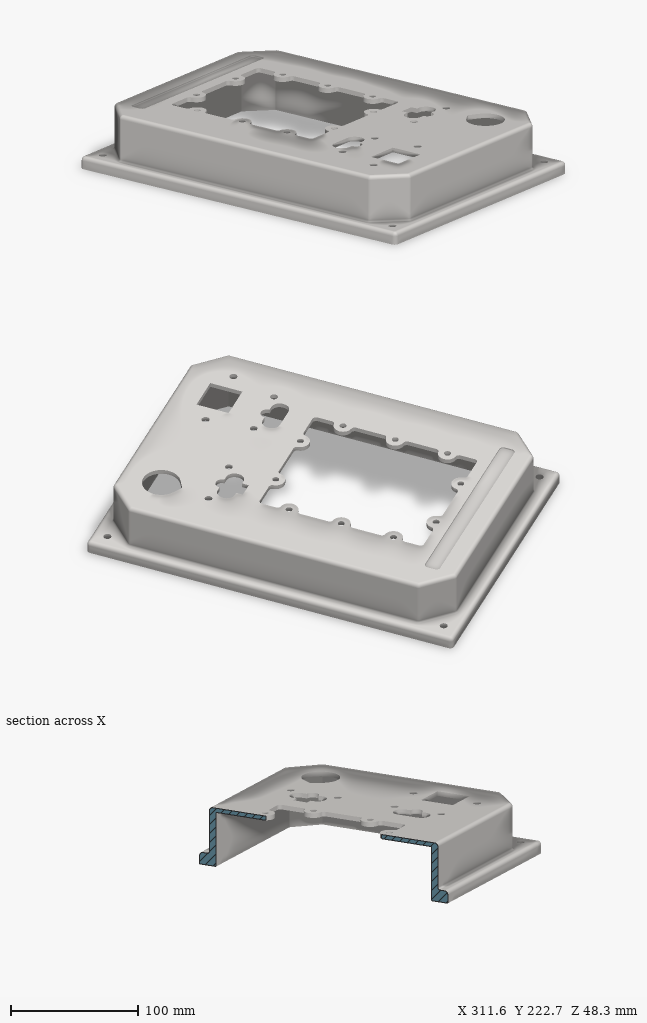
import cadquery as cq
import math

FLANGE_LENGTH = 311.59
FLANGE_WIDTH = 222.69
FLANGE_HEIGHT = 10.16
FLANGE_ROUND = 3.175
FLANGE_HOLE_INSET = 12.7
FLANGE_HOLE_DIAMETER = 6.2

TOTAL_HEIGHT = 48.26
HOUSING_INSET_X = 9.745
HOUSING_INSET_Y = 8.8
HOUSING_LENGTH = FLANGE_LENGTH - 2 * HOUSING_INSET_X
HOUSING_WIDTH = FLANGE_WIDTH - 2 * HOUSING_INSET_Y
CORNER_CUT = 22.86
HOUSING_ROUND = 3.175
FOOT_ROUND = 1.5

WALL = 6.35
PANEL = 3.8

STRIP_X = -124.5
STRIP_LENGTH = 158.75
STRIP_WIDTH = 12.7
STRIP_ROUND = 3.175
STRIP_DEPTH = 1.27
STRIP_FLOOR_ROUND = 0.7

WINDOW_X = -38.1
WINDOW_LENGTH = 139.7
WINDOW_WIDTH = 114.3
WINDOW_ROUND = 3.0
TAB_RADIUS = 7.5
TAB_HOLE_INSET = 1.6
TAB_HOLE_DIAMETER = 5.4
TAB_PITCH_X = 44.45
TAB_SPACING_Y = 50.8

CONNECTOR_X = 59.9
CONNECTOR_Y = 46.4
CONNECTOR_WIDTH = 14.7
CONNECTOR_LENGTH = 31.4
CONNECTOR_ROUND = 6.9
CONNECTOR_BUMP_RADIUS = 5.1
CONNECTOR_SCREW_X = 70.0
CONNECTOR_SCREW_SPACING = 41.9
CONNECTOR_SCREW_DIAMETER = 6.0
KEY_REACH = 13.0
KEY_WIDTH = 12.4

ROUND_X = 111.8
ROUND_Y = 63.4
ROUND_RADIUS = 15.25
NOSE_RADIUS = 2.2
NOSE_OFFSET = 15.25

SQUARE_X = 109.1
SQUARE_Y = -49.6
SQUARE_LENGTH = 27.3
SQUARE_WIDTH = 28.4
SQUARE_SCREW_SPACING = 57.15
SQUARE_SCREW_DIAMETER = 6.35


def through_panel(sketch):
    """Extrude a closed outline through the full height of the part."""
    return sketch.extrude(TOTAL_HEIGHT)


def flange():
    plate = cq.Workplane("XY").box(FLANGE_LENGTH, FLANGE_WIDTH, FLANGE_HEIGHT, centered=(True, True, False))
    return plate.edges("|Z or >Z").fillet(FLANGE_ROUND)


def octagon_block(length, width, corner_cut, height):
    """Rectangular block with its four upright corners cut at 45 degrees."""
    block = cq.Workplane("XY").box(length, width, height, centered=(True, True, False))
    return block.edges("|Z").chamfer(corner_cut)


def housing():
    block = octagon_block(HOUSING_LENGTH, HOUSING_WIDTH, CORNER_CUT, TOTAL_HEIGHT)
    return block.edges("|Z or >Z").fillet(HOUSING_ROUND)


def body():
    """Flange and housing joined, with a small fillet around the housing foot."""
    joined = flange().union(housing())
    margin = HOUSING_INSET_Y / 2
    foot = cq.selectors.BoxSelector(
        (-HOUSING_LENGTH / 2 - margin, -HOUSING_WIDTH / 2 - margin, FLANGE_HEIGHT - FOOT_ROUND),
        (HOUSING_LENGTH / 2 + margin, HOUSING_WIDTH / 2 + margin, FLANGE_HEIGHT + FOOT_ROUND),
        boundingbox=True,
    )
    return joined.edges(foot).fillet(FOOT_ROUND)


def cavity():
    """Hollow under the panel, offset inward from the housing by the wall thickness."""
    cut_shift = WALL * (2 - math.sqrt(2))
    return octagon_block(
        HOUSING_LENGTH - 2 * WALL,
        HOUSING_WIDTH - 2 * WALL,
        CORNER_CUT - cut_shift,
        TOTAL_HEIGHT - PANEL,
    )


def holes(points, diameter):
    return through_panel(cq.Workplane("XY").pushPoints(points).circle(diameter / 2))


def flange_holes():
    x = FLANGE_LENGTH / 2 - FLANGE_HOLE_INSET
    y = FLANGE_WIDTH / 2 - FLANGE_HOLE_INSET
    return holes([(sx * x, sy * y) for sx in (-1, 1) for sy in (-1, 1)], FLANGE_HOLE_DIAMETER)


def strip_recess():
    recess = cq.Workplane("XY").box(STRIP_WIDTH, STRIP_LENGTH, STRIP_DEPTH, centered=(True, True, False))
    recess = recess.edges("|Z").fillet(STRIP_ROUND).faces("<Z").edges().fillet(STRIP_FLOOR_ROUND)
    return recess.translate((STRIP_X, 0, TOTAL_HEIGHT - STRIP_DEPTH))


def tab_centers():
    x = WINDOW_LENGTH / 2 - TAB_HOLE_INSET
    y = WINDOW_WIDTH / 2 - TAB_HOLE_INSET
    points = []
    for side in (-1, 1):
        for step in (-1, 0, 1):
            points.append((WINDOW_X + step * TAB_PITCH_X, side * y))
        for end in (-1, 1):
            points.append((WINDOW_X + side * x, end * TAB_SPACING_Y / 2))
    return points


def window():
    """Window outline notched by the round screw tabs, all corners at its border rounded."""
    opening = through_panel(cq.Workplane("XY").center(WINDOW_X, 0).rect(WINDOW_LENGTH, WINDOW_WIDTH))
    opening = opening.cut(holes(tab_centers(), 2 * TAB_RADIUS))
    return opening.edges("|Z").fillet(WINDOW_ROUND)


def connector(y, with_key):
    """Rounded slot with a bump toward +X, two screw holes and an optional key toward -X."""
    center = cq.Workplane("XY").center(CONNECTOR_X, y)
    opening = through_panel(center.rect(CONNECTOR_WIDTH, CONNECTOR_LENGTH)).edges("|Z").fillet(CONNECTOR_ROUND)
    bump_x = CONNECTOR_X + CONNECTOR_WIDTH / 2
    opening = opening.union(holes([(bump_x, y)], 2 * CONNECTOR_BUMP_RADIUS))
    if with_key:
        key = cq.Workplane("XY").center(CONNECTOR_X - KEY_REACH / 2, y).rect(KEY_REACH, KEY_WIDTH)
        opening = opening.union(through_panel(key))
    screws = [(CONNECTOR_SCREW_X, y + s * CONNECTOR_SCREW_SPACING / 2) for s in (-1, 1)]
    return opening.union(holes(screws, CONNECTOR_SCREW_DIAMETER))


def round_cutout():
    """Circle joined to a small nose circle by their two common tangents."""
    cosine = (ROUND_RADIUS - NOSE_RADIUS) / NOSE_OFFSET
    sine = math.sqrt(1 - cosine ** 2)
    big = (-ROUND_RADIUS * cosine, ROUND_RADIUS * sine)
    small = (-NOSE_OFFSET - NOSE_RADIUS * cosine, NOSE_RADIUS * sine)
    outline = (
        cq.Workplane("XY")
        .center(ROUND_X, ROUND_Y)
        .moveTo(*big)
        .threePointArc((ROUND_RADIUS, 0), (big[0], -big[1]))
        .lineTo(small[0], -small[1])
        .threePointArc((-NOSE_OFFSET - NOSE_RADIUS, 0), small)
        .close()
    )
    return through_panel(outline)


def square_cutout():
    opening = through_panel(cq.Workplane("XY").center(SQUARE_X, SQUARE_Y).rect(SQUARE_LENGTH, SQUARE_WIDTH))
    screws = [(SQUARE_X, SQUARE_Y + s * SQUARE_SCREW_SPACING / 2) for s in (-1, 1)]
    return opening.union(holes(screws, SQUARE_SCREW_DIAMETER))


result = (
    body()
    .cut(cavity())
    .cut(flange_holes())
    .cut(strip_recess())
    .cut(window())
    .cut(holes(tab_centers(), TAB_HOLE_DIAMETER))
    .cut(connector(CONNECTOR_Y, with_key=True))
    .cut(connector(-CONNECTOR_Y, with_key=False))
    .cut(round_cutout())
    .cut(square_cutout())
)